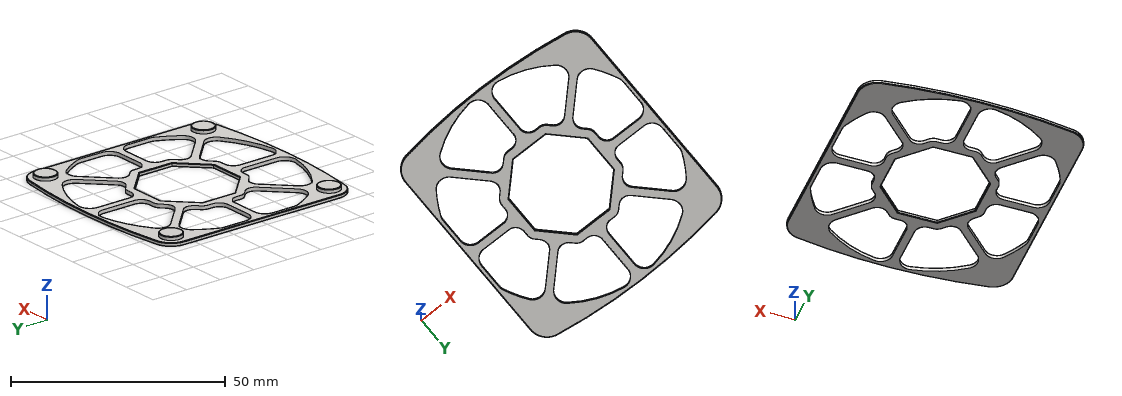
import cadquery as cq
import math

total_height = 2.0
plate_thickness = total_height / 2
edge_chamfer = 0.2

width = 56.0
length = 60.0
end_radius = 150.0
corner_radius = 5.0

hub_sides = 8
hub_hole_apothem = 11.75
hub_rim_width = 2.2
hub_apothem = hub_hole_apothem + hub_rim_width

spoke_count = 8
spoke_width = 2.0
opening_radius = 29.15
opening_half_width = 27.0
hub_side_fillet = 2.5
rim_side_fillet = 3.0

foot_diameter = 5.8
foot_offset = 23.5


def octagonal_prism(apothem):
    """Plate-thick octagonal prism with flats facing X and Y."""
    circumscribed_diameter = 2 * apothem / math.cos(math.pi / hub_sides)
    return (
        cq.Workplane("XY")
        .transformed(rotate=(0, 0, 180 / hub_sides))
        .polygon(hub_sides, circumscribed_diameter)
        .extrude(plate_thickness)
    )


def plate_blank():
    """Plate with bowed Y ends, rounded corners and an octagonal centre hole."""
    corner_x = width / 2
    end_bow = end_radius - math.sqrt(end_radius**2 - corner_x**2)
    corner_y = length / 2 - end_bow
    outline = (
        cq.Workplane("XY")
        .moveTo(-corner_x, -corner_y)
        .threePointArc((0, -length / 2), (corner_x, -corner_y))
        .lineTo(corner_x, corner_y)
        .threePointArc((0, length / 2), (-corner_x, corner_y))
        .close()
        .extrude(plate_thickness)
        .edges("|Z")
        .fillet(corner_radius)
    )
    return (
        outline.cut(octagonal_prism(hub_hole_apothem))
        .faces("<Z or >Z")
        .edges()
        .chamfer(edge_chamfer)
    )


def spoke_openings():
    """Rounded openings left between the hub, the rim and the spokes."""
    side_limits = cq.Workplane("XY").box(2 * opening_half_width, length, length)
    openings = (
        cq.Workplane("XY")
        .circle(opening_radius)
        .extrude(plate_thickness)
        .intersect(side_limits)
        .cut(octagonal_prism(hub_apothem))
    )
    spoke_pair = cq.Workplane("XY").box(length, spoke_width, length)
    for index in range(spoke_count // 2):
        angle = index * 360 / spoke_count
        openings = openings.cut(spoke_pair.rotate((0, 0, 0), (0, 0, 1), angle))

    reach = (hub_apothem + opening_half_width) / 2
    near_hub = cq.selectors.BoxSelector((-reach, -reach, 0), (reach, reach, plate_thickness))
    upright = cq.selectors.ParallelDirSelector(cq.Vector(0, 0, 1))
    openings = openings.edges(upright & near_hub).fillet(hub_side_fillet)
    return openings.edges(upright - near_hub).fillet(rim_side_fillet)


def corner_feet():
    """Four round feet with bevelled tops."""
    return (
        cq.Workplane("XY")
        .rect(2 * foot_offset, 2 * foot_offset, forConstruction=True)
        .vertices()
        .circle(foot_diameter / 2)
        .extrude(total_height)
        .faces(">Z")
        .edges()
        .chamfer(edge_chamfer)
    )


result = plate_blank().cut(spoke_openings()).union(corner_feet())